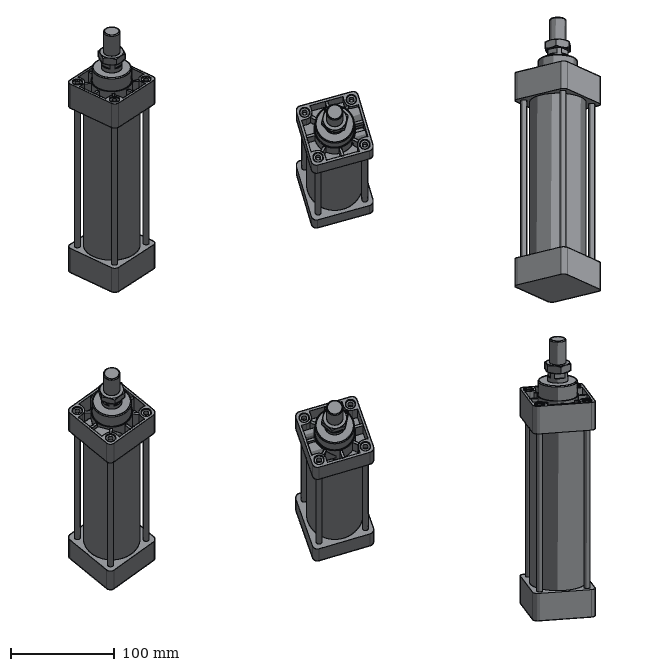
import cadquery as cq
import math

cap_width = 62.0
cap_height = 28.0
cap_corner_radius = 5.0
barrel_diameter = 55.0
barrel_length = 162.0
head_base_z = cap_height + barrel_length
head_top_z = head_base_z + cap_height

tie_rod_spacing = 47.0
tie_rod_diameter = 6.0
nut_recess_diameter = 10.0
nut_recess_depth = 12.0
tie_nut_diameter = 9.0
tie_nut_drop = 1.0
tie_nut_bore = 4.92
tie_nut_bore_depth = 8.0

wall_thickness = 2.5
pocket_depth = 20.0
pillar_radius = 7.0
hub_diameter = 40.0
rib_width = 2.5
rib_drop = 2.0
pocket_floor_z = head_top_z - pocket_depth

housing_axis_z = head_base_z + cap_height / 2
port_diameter = 21.5
port_x = -8.75
cushion_diameter = 10.0
cushion_x = 11.0

collar_diameter = 38.0
collar_height = 15.0
collar_chamfer = 1.0
collar_top_z = head_top_z + collar_height

rod_diameter = 20.0
rod_length = 10.0
flats_width = 17.0
flats_length = 5.5
thread_diameter = 16.0
thread_length = 32.0
thread_chamfer = 1.0
lock_nut_width = 23.0
lock_nut_height = 8.0
lock_nut_face_diameter = 22.8
lock_nut_chamfer_height = 1.0


def cylinder(diameter, base_z, height):
    """Upright cylinder on the cylinder axis."""
    return cq.Workplane("XY").workplane(offset=base_z).circle(diameter / 2).extrude(height)


def tie_rod_cylinders(diameter, base_z, height):
    """Upright cylinders at the four tie rod positions."""
    plane = cq.Workplane("XY").workplane(offset=base_z)
    corners = plane.rect(tie_rod_spacing, tie_rod_spacing, forConstruction=True).vertices()
    return corners.circle(diameter / 2).extrude(height)


def block(size_x, size_y, base_z, height):
    """Upright block centred on the cylinder axis."""
    return cq.Workplane("XY").workplane(offset=base_z).rect(size_x, size_y).extrude(height)


def cap(base_z):
    """Square end cap with rounded corners."""
    return block(cap_width, cap_width, base_z, cap_height).edges("|Z").fillet(cap_corner_radius)


def corner_pillars():
    """Material around the tie rod nuts: a round pillar merged into both walls."""
    pillars = tie_rod_cylinders(2 * pillar_radius, pocket_floor_z, pocket_depth)
    centre = tie_rod_spacing / 2
    reach = cap_width / 2 - centre
    pillar_width = 2 * pillar_radius
    web_centre = centre + reach / 2
    web_to_y_wall = block(pillar_width, reach, pocket_floor_z, pocket_depth)
    web_to_x_wall = block(reach, pillar_width, pocket_floor_z, pocket_depth)
    for side_x in (-1, 1):
        for side_y in (-1, 1):
            pillars = pillars.union(web_to_y_wall.translate((side_x * centre, side_y * web_centre, 0)))
            pillars = pillars.union(web_to_x_wall.translate((side_x * web_centre, side_y * centre, 0)))
    return pillars


def ribs():
    """Eight radial ribs between the hub, the walls and the corner pillars."""
    rib = block(cap_width, rib_width, pocket_floor_z, pocket_depth - rib_drop)
    star = rib
    for angle in (45, 90, 135):
        star = star.union(rib.rotate((0, 0, 0), (0, 0, 1), angle))
    return star


def side_housing(diameter, x):
    """Horizontal cylinder from the cap centre plane to the +Y wall."""
    plane = cq.Workplane("XZ", origin=(x, 0, housing_axis_z))
    return plane.circle(diameter / 2).extrude(-cap_width / 2)


def pocketed_head():
    """Head cap hollowed from the top around its hub, pillars, ribs and side housings."""
    inner_width = cap_width - 2 * wall_thickness
    pocket = block(inner_width, inner_width, pocket_floor_z, pocket_depth)
    pocket = pocket.cut(cylinder(hub_diameter, pocket_floor_z, pocket_depth))
    pocket = pocket.cut(corner_pillars())
    pocket = pocket.cut(ribs())
    pocket = pocket.cut(side_housing(port_diameter, port_x))
    pocket = pocket.cut(side_housing(cushion_diameter, cushion_x))
    return cap(head_base_z).cut(pocket)


def tie_nuts():
    """Round tie rod nuts standing in their recesses, each with a blind bore in its top."""
    base_z = head_top_z - nut_recess_depth
    top_z = head_top_z - tie_nut_drop
    nuts = tie_rod_cylinders(tie_nut_diameter, base_z, top_z - base_z)
    return nuts.cut(tie_rod_cylinders(tie_nut_bore, top_z - tie_nut_bore_depth, tie_nut_bore_depth))


def make_cylinder_body():
    """Both caps, barrel, tie rods, tie rod nuts and rod guide collar as one solid."""
    collar = cylinder(collar_diameter, head_top_z, collar_height).faces(">Z").chamfer(collar_chamfer)
    body = cap(0).union(cylinder(barrel_diameter, cap_height, barrel_length))
    body = body.union(tie_rod_cylinders(tie_rod_diameter, cap_height, barrel_length))
    body = body.union(pocketed_head())
    body = body.cut(tie_rod_cylinders(nut_recess_diameter, head_top_z - nut_recess_depth, nut_recess_depth))
    return body.union(tie_nuts()).union(collar)


def lock_nut(base_z):
    """Hexagon nut with corners on the Y axis, turned off at both ends."""
    half_side_angle = 30
    across_corners = lock_nut_width / math.cos(math.radians(half_side_angle))
    chamfer_width = (across_corners - lock_nut_face_diameter) / 2
    hexagon = cq.Workplane("XY").workplane(offset=base_z).polygon(6, across_corners).extrude(lock_nut_height)
    hexagon = hexagon.rotate((0, 0, 0), (0, 0, 1), half_side_angle)
    turned = cylinder(across_corners, base_z, lock_nut_height)
    turned = turned.faces("<Z or >Z").chamfer(lock_nut_chamfer_height, chamfer_width)
    return hexagon.intersect(turned)


def make_piston_rod():
    """Rod end standing on the collar: shank with four flats, thread and lock nut."""
    shank_top_z = collar_top_z + rod_length
    flats_base_z = shank_top_z - flats_length
    round_shank = cylinder(rod_diameter, collar_top_z, rod_length - flats_length)
    flats = cylinder(rod_diameter, flats_base_z, flats_length)
    flats = flats.intersect(block(flats_width, flats_width, flats_base_z, flats_length))
    thread = cylinder(thread_diameter, shank_top_z, thread_length).faces(">Z").chamfer(thread_chamfer)
    return round_shank.union(flats).union(thread).union(lock_nut(shank_top_z))


cylinder_body = make_cylinder_body()
piston_rod = make_piston_rod()
result = cq.Compound.makeCompound([cylinder_body.val(), piston_rod.val()])